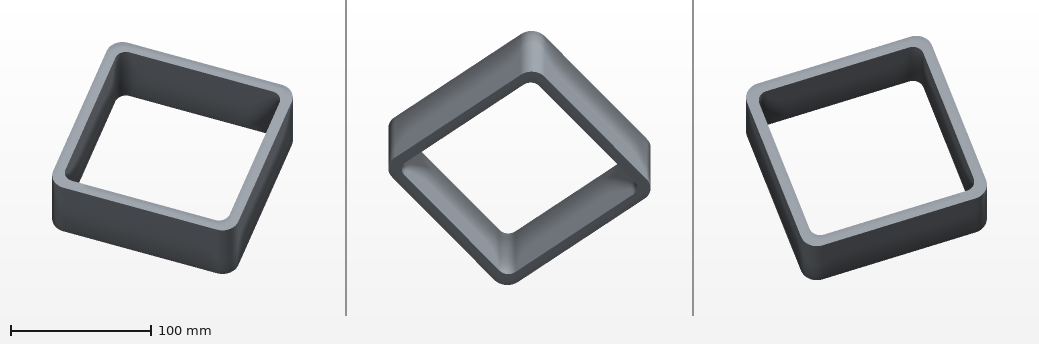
import cadquery as cq

side = 140.0
height = 50.0
wall = 8.0
outer_radius = 12.0
inner_radius = 8.0


def rounded_square_prism(width, corner_radius):
    """Upright square prism of the tube's height with rounded vertical edges."""
    return cq.Workplane("XY").rect(width, width).extrude(height).edges("|Z").fillet(corner_radius)


outer_body = rounded_square_prism(side, outer_radius)
opening = rounded_square_prism(side - 2 * wall, inner_radius)

result = outer_body.cut(opening)